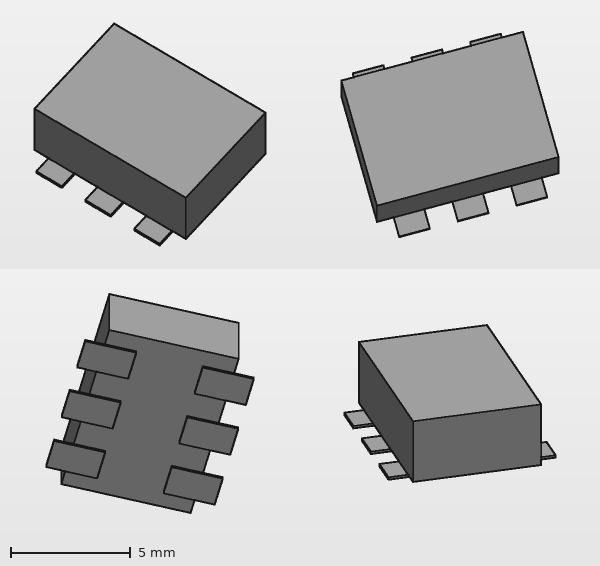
import cadquery as cq

body_length = 7.87
body_width = 5.59
overall_width = 7.29
overall_height = 2.94

lead_thickness = 0.12
lead_width = 1.33
lead_length = 2.21
lead_pitch = 2.54
leads_per_side = 3

body_height = overall_height - lead_thickness
lead_center_y = (overall_width - lead_length) / 2


def make_body():
    """Rectangular housing resting on top of the leads."""
    return (
        cq.Workplane("XY", origin=(0, 0, lead_thickness))
        .box(body_length, body_width, body_height, centered=(True, True, False))
    )


def make_lead(x, y):
    """Flat lead centred at (x, y), with its underside at Z = 0."""
    return (
        cq.Workplane("XY", origin=(x, y, 0))
        .box(lead_width, lead_length, lead_thickness, centered=(True, True, False))
    )


body = make_body()

leads = []
for side in (-1, 1):
    for index in range(leads_per_side):
        lead_x = (index - (leads_per_side - 1) / 2) * lead_pitch
        leads.append(make_lead(lead_x, side * lead_center_y))

result = cq.Compound.makeCompound([body.val(), *[lead.val() for lead in leads]])